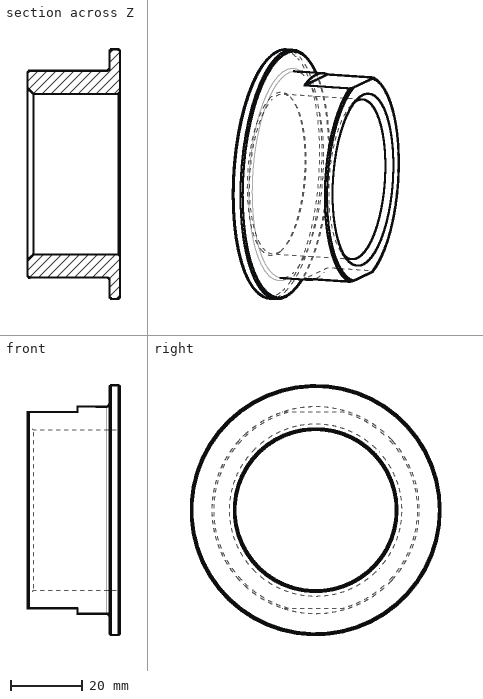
import cadquery as cq

total_length = 26.0
flange_diameter = 70.0
flange_thickness = 3.0
flange_chamfer = 0.5
barrel_diameter = 58.0
barrel_end_chamfer = 0.5
root_fillet = 0.8
bore_diameter = 44.9
bore_chamfer_diameter = 48.3
bore_chamfer_depth = 1.75
bore_exit_chamfer = 0.5
flat_length = 14.0
across_flats = 55.0

flange_radius = flange_diameter / 2
barrel_radius = barrel_diameter / 2
bore_radius = bore_diameter / 2
bore_mouth_radius = bore_chamfer_diameter / 2
end_x = total_length / 2
front_x = -end_x
flange_x = end_x - flange_thickness


def flanged_bushing():
    """Revolve the half section, sketched as (x, radius), about the X axis."""
    section = (
        cq.Workplane("XY")
        .moveTo(front_x + bore_chamfer_depth, bore_radius)
        .lineTo(front_x, bore_mouth_radius)
        .lineTo(front_x, barrel_radius - barrel_end_chamfer)
        .lineTo(front_x + barrel_end_chamfer, barrel_radius)
        .lineTo(flange_x - root_fillet, barrel_radius)
        .radiusArc((flange_x, barrel_radius + root_fillet), -root_fillet)
        .lineTo(flange_x, flange_radius - flange_chamfer)
        .lineTo(flange_x + flange_chamfer, flange_radius)
        .lineTo(end_x - flange_chamfer, flange_radius)
        .lineTo(end_x, flange_radius - flange_chamfer)
        .lineTo(end_x, bore_radius + bore_exit_chamfer)
        .lineTo(end_x - bore_exit_chamfer, bore_radius)
        .close()
    )
    return section.revolve(360, (0, 0, 0), (1, 0, 0))


def flat_cutter(side):
    """Block outside one wrench flat; side is +1 for the top, -1 for the bottom."""
    height = flange_radius - across_flats / 2
    return (
        cq.Workplane("XY")
        .box(flat_length, flange_diameter, height)
        .translate((front_x + flat_length / 2, 0, side * (across_flats + height) / 2))
    )


result = flanged_bushing()
for side in (1, -1):
    result = result.cut(flat_cutter(side))